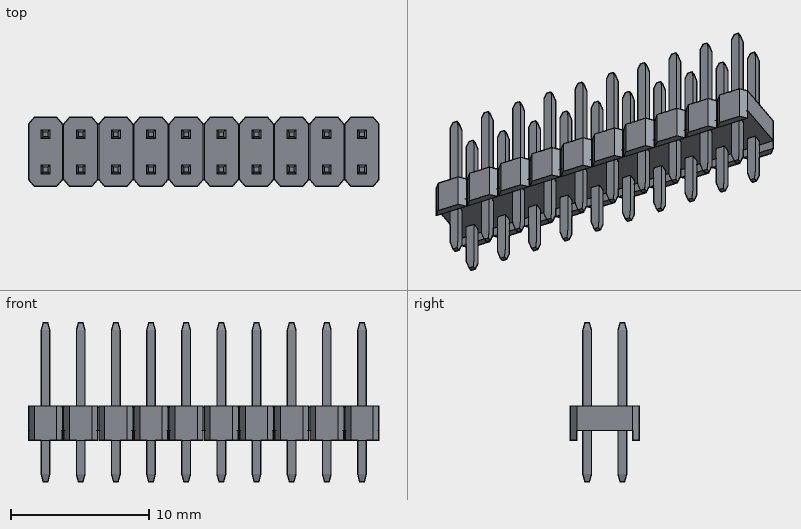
import cadquery as cq

columns = 10
rows = 2
pitch = 2.54

module_length = 2.45
body_width = 5.0
body_height = 2.5
chamfer_x = 0.42
chamfer_y = 0.48
channel_height = 0.7
web_drop = 0.1

pin_side = 0.64
pin_above_body = 6.0
pin_below_body = 3.0
tip_length = 0.55
tip_side = 0.34

column_centers = [(i - (columns - 1) / 2) * pitch for i in range(columns)]
row_centers = [(j - (rows - 1) / 2) * pitch for j in range(rows)]
row_span = (columns - 1) * pitch
body_length = row_span + module_length
core_width = body_width - 2 * chamfer_y


def make_box(length, width, bottom, top):
    """Box centred on the Z axis between two heights."""
    return cq.Workplane("XY").workplane(offset=bottom).rect(length, width).extrude(top - bottom)


def make_module():
    """One octagonal block of the insulator."""
    side_x = module_length / 2
    side_y = body_width / 2
    flat_x = side_x - chamfer_x
    flat_y = side_y - chamfer_y
    outline = [
        (side_x, flat_y),
        (flat_x, side_y),
        (-flat_x, side_y),
        (-side_x, flat_y),
        (-side_x, -flat_y),
        (-flat_x, -side_y),
        (flat_x, -side_y),
        (side_x, -flat_y),
    ]
    return cq.Workplane("XY").polyline(outline).close().extrude(body_height)


def make_body():
    """Row of blocks joined by a web, with a channel along the underside."""
    body = make_box(row_span, core_width, channel_height, body_height - web_drop)
    for x in column_centers:
        body = body.union(make_module().translate((x, 0, 0)))
    return body.cut(make_box(body_length, core_width, 0, channel_height))


def make_tip(height, direction):
    """Square taper starting at a height and narrowing along +Z or -Z."""
    base = cq.Workplane("XY").workplane(offset=height).rect(pin_side, pin_side)
    return base.workplane(offset=direction * tip_length).rect(tip_side, tip_side).loft()


def make_pin():
    """Straight square pin tapered at both ends."""
    shaft_bottom = tip_length - pin_below_body
    shaft_top = body_height + pin_above_body - tip_length
    shaft = make_box(pin_side, pin_side, shaft_bottom, shaft_top)
    return shaft.union(make_tip(shaft_top, 1)).union(make_tip(shaft_bottom, -1))


def make_header():
    """Insulator with a pin at every grid place."""
    header = make_body()
    pin = make_pin()
    for x in column_centers:
        for y in row_centers:
            header = header.union(pin.translate((x, y, 0)))
    return header


result = make_header()